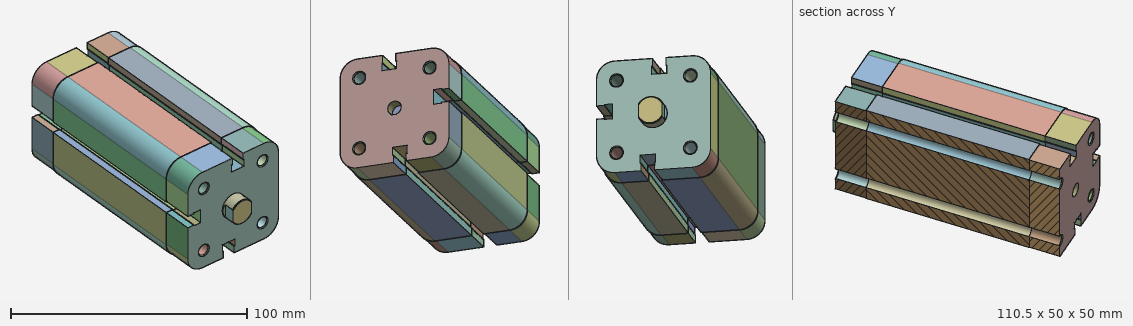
import cadquery as cq

total_length = 110.5
housing_length = 104.4
cap_length = 14.4
barrel_length = housing_length - 2 * cap_length

barrel_side = 50.0
cap_inset = 0.2
corner_radius = 8.0

slot_offset = 2.4
slot_bottom = 18.0
slot_step = 21.3
slot_inner_width = 6.2
slot_mouth_width = 5.4

bolt_pitch = 32.0
bolt_hole_diameter = 5.1
bolt_hole_chamfer = 0.4
centring_diameter = 6.1
centring_depth = 5.5

rod_diameter = 12.0
rod_chamfer = 0.3
flat_width = 10.2
flat_start = 0.4
flat_ramp_length = 0.5


def section_plane(x):
    """Plane across the cylinder at x, with local axes along Y and Z."""
    return cq.Workplane("YZ", origin=(x, 0, 0))


def slot_cutter(x, length, inset):
    """Slot opening towards +Z, wider below its mouth, its walls and floor set back by inset."""
    mouth_height = barrel_side - slot_step
    inner_height = slot_step - slot_bottom + inset
    mouth = (
        section_plane(x)
        .center(slot_offset, slot_step + mouth_height / 2)
        .rect(slot_mouth_width + 2 * inset, mouth_height)
        .extrude(length)
    )
    inner = (
        section_plane(x)
        .center(slot_offset, slot_step - inner_height / 2)
        .rect(slot_inner_width + 2 * inset, inner_height)
        .extrude(length)
    )
    return mouth.union(inner)


def make_section(x, length, inset=0.0):
    """Rounded square length of housing with its slots and bolt holes."""
    side = barrel_side - 2 * inset
    section = section_plane(x).rect(side, side).extrude(length).edges("|X").fillet(corner_radius)
    slot = slot_cutter(x, length, inset)
    for angle in (0, 90, 180):
        section = section.cut(slot.rotate((0, 0, 0), (1, 0, 0), angle))
    bolt_holes = (
        section_plane(x)
        .rect(bolt_pitch, bolt_pitch, forConstruction=True)
        .vertices()
        .circle(bolt_hole_diameter / 2)
        .extrude(length)
    )
    return section.cut(bolt_holes)


def chamfer_bolt_holes(cap, outer_face):
    """Chamfer the bolt hole rims on the outer face of a cap."""
    smallest_circles = cq.selectors.RadiusNthSelector(0)
    return cap.faces(outer_face).edges(smallest_circles).chamfer(bolt_hole_chamfer)


def make_rear_cap():
    cap = make_section(0, cap_length, cap_inset)
    cap = chamfer_bolt_holes(cap, "<X")
    return cap.cut(section_plane(0).circle(centring_diameter / 2).extrude(centring_depth))


def make_barrel():
    return make_section(cap_length, barrel_length)


def make_front_cap():
    start = housing_length - cap_length
    cap = make_section(start, cap_length, cap_inset)
    cap = chamfer_bolt_holes(cap, ">X")
    return cap.cut(section_plane(start).circle(rod_diameter / 2).extrude(cap_length))


def make_piston_rod():
    """Rod through the front cap, with two wrench flats facing -Y and +Y."""
    start = housing_length - cap_length
    rod = section_plane(start).circle(rod_diameter / 2).extrude(total_length - start)
    rod = rod.faces(">X").chamfer(rod_chamfer)
    ramp_start = housing_length + flat_start
    flat = (
        cq.Workplane("XY")
        .moveTo(ramp_start, rod_diameter / 2)
        .lineTo(ramp_start + flat_ramp_length, flat_width / 2)
        .lineTo(total_length, flat_width / 2)
        .lineTo(total_length, rod_diameter / 2)
        .close()
        .extrude(rod_diameter / 2, both=True)
    )
    return rod.cut(flat).cut(flat.mirror("XZ"))


rear_cap = make_rear_cap()
barrel = make_barrel()
front_cap = make_front_cap()
piston_rod = make_piston_rod()

result = cq.Compound.makeCompound([rear_cap.val(), barrel.val(), front_cap.val(), piston_rod.val()])